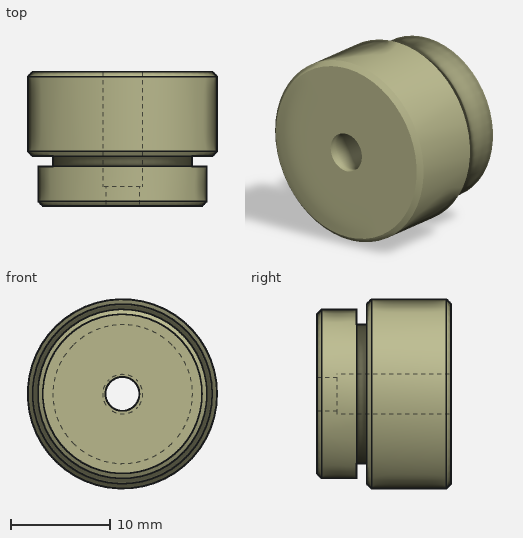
import cadquery as cq

total_length = 13.5
head_diameter = 19.05
spigot_diameter = 17.0
spigot_length = 4.0
groove_diameter = 14.0
groove_width = 1.01
bore_diameter = 3.4
edge_chamfer = 0.5
recess_diameter = 4.0
end_wall = 2.0

head_length = total_length - spigot_length - groove_width


def cylinder_along_y(diameter, start, length):
    """Solid cylinder on the Y axis, running from start towards +Y."""
    plane = cq.Plane(origin=(0, start, 0), xDir=(1, 0, 0), normal=(0, 1, 0))
    return cq.Workplane(plane).circle(diameter / 2).extrude(length)


spigot = cylinder_along_y(spigot_diameter, 0, spigot_length)
spigot = spigot.faces("<Y").edges().chamfer(edge_chamfer)

neck = cylinder_along_y(groove_diameter, spigot_length, groove_width)

head = cylinder_along_y(head_diameter, spigot_length + groove_width, head_length)
head = head.faces("<Y or >Y").edges().chamfer(edge_chamfer)

bore = cylinder_along_y(bore_diameter, 0, total_length)

recess = cylinder_along_y(recess_diameter, end_wall, total_length - end_wall)

result = spigot.union(neck).union(head).cut(bore).cut(recess)